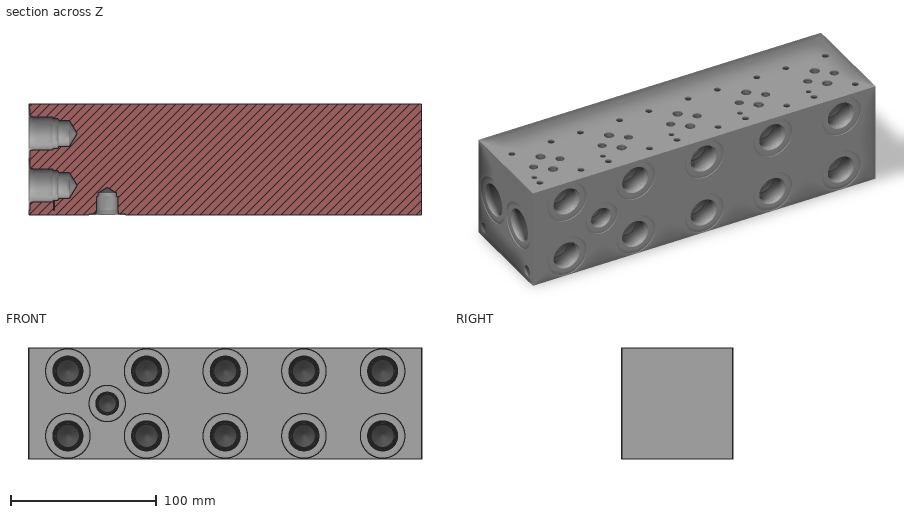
import cadquery as cq
import math

LENGTH = 270.0
WIDTH = 76.2
HEIGHT = 76.2

STATION_COUNT = 5
FIRST_STATION_X = 27.0
STATION_PITCH = 54.0

DRILL_POINT_ANGLE = 118.0
POINT_SLOPE = 1.0 / math.tan(math.radians(DRILL_POINT_ANGLE / 2))

SPOTFACE_DEPTH = 0.7
SEAT_DEPTH = 2.5

WORK_PORT = {
    "spotface": 30.63,
    "seat_mouth": 20.6,
    "seat_base": 19.25,
    "thread": 19.05,
    "thread_depth": 14.3,
    "tap_drill": 17.48,
    "tap_depth": 17.5,
    "passage": 15.88,
    "passage_depth": 28.0,
}
WORK_PORT_EDGE_INSET = 15.875

SUPPLY_PORT = {
    "spotface": 34.1,
    "seat_mouth": 23.9,
    "seat_base": 22.55,
    "thread": 22.23,
    "thread_depth": 16.7,
    "tap_drill": 20.45,
    "tap_depth": 20.0,
    "passage": 17.5,
    "passage_depth": 28.0,
}
SUPPLY_PORT_SPACING = 35.7
TANK_PORT_Y = (WIDTH + SUPPLY_PORT_SPACING) / 2
PRESSURE_PORT_Y = (WIDTH - SUPPLY_PORT_SPACING) / 2

GAUGE_PORT = {
    "spotface": 25.0,
    "seat_mouth": 15.6,
    "seat_base": 14.5,
    "thread": 14.29,
    "thread_depth": 12.7,
    "tap_drill": 12.5,
    "tap_depth": 15.0,
}
GAUGE_PORT_X = FIRST_STATION_X + STATION_PITCH / 2

BACK_ROW_Y = 49.9
ROW_SPACING = 40.5
FRONT_ROW_Y = BACK_ROW_Y - ROW_SPACING
BACK_BOLT_SPACING = 31.0
FRONT_BOLT_SPACING = 32.5
BOLT_THREAD = 4.83
BOLT_THREAD_DEPTH = 12.0
BOLT_TAP_DRILL = 3.79
BOLT_TAP_DEPTH = 15.0

PIN_DIAMETER = 3.96
PIN_DEPTH = 4.0
PIN_ROW_OFFSET = 7.5

WORK_BORE_INSET = 12.7
VALVE_PORT_DEPTH = 1.9
WORK_BORE = 7.14
WORK_BORE_SPACING = 17.5
VALVE_PORT_CENTER_Y = BACK_ROW_Y - WORK_BORE_INSET - WORK_BORE_SPACING / 2
SUPPLY_BORE = 6.35
SUPPLY_BORE_SPACING = 20.8

END_BOLT_INSET = 7.94
END_BOLT_THREAD = 7.92
END_BOLT_THREAD_DEPTH = 12.0
END_BOLT_TAP_DRILL = 6.53
END_BOLT_TAP_DEPTH = 15.0


def drilled_tool(sections):
    """Round cutter along +Z from the origin, closed by a drill point.

    Each section is (start diameter, end diameter, depth of its end).
    """
    points = [(0, 0)]
    depth = 0.0
    for start_diameter, end_diameter, end_depth in sections:
        section_start = (start_diameter / 2, depth)
        if section_start != points[-1]:
            points.append(section_start)
        points.append((end_diameter / 2, end_depth))
        depth = end_depth
    end_radius = sections[-1][1] / 2
    points.append((0, depth + end_radius * POINT_SLOPE))
    return cq.Workplane("XZ").polyline(points).close().revolve(360, (0, 0, 0), (0, 1, 0)).val()


def plain_hole(diameter, depth):
    return drilled_tool([(diameter, diameter, depth)])


def tapped_hole(thread, thread_depth, tap_drill, tap_depth):
    return drilled_tool([(thread, thread, thread_depth), (tap_drill, tap_drill, tap_depth)])


def threaded_port(port):
    """Cutter for a spotfaced port; a passage continues below a conical shoulder of the tap drill."""
    sections = [
        (port["spotface"], port["spotface"], SPOTFACE_DEPTH),
        (port["seat_mouth"], port["seat_base"], SPOTFACE_DEPTH + SEAT_DEPTH),
        (port["thread"], port["thread"], port["thread_depth"]),
        (port["tap_drill"], port["tap_drill"], port["tap_depth"]),
    ]
    if "passage" in port:
        shoulder_end = port["tap_depth"] + (port["tap_drill"] - port["passage"]) / 2 * POINT_SLOPE
        sections.append((port["tap_drill"], port["passage"], shoulder_end))
        sections.append((port["passage"], port["passage"], port["passage_depth"]))
    return drilled_tool(sections)


def placed(tool, mouth, direction):
    """Cutter moved so that it starts at the mouth point and cuts along the direction."""
    return tool.moved(cq.Plane(origin=mouth, normal=direction).location)


def in_front(tool, x, z):
    return placed(tool, (x, 0, z), (0, 1, 0))


def in_top(tool, x, y):
    return placed(tool, (x, y, HEIGHT), (0, 0, -1))


def in_left_end(tool, y, z):
    return placed(tool, (0, y, z), (1, 0, 0))


def front_cutters(station_xs):
    """Two work ports per station and a gauge port midway between the first two stations."""
    work_port = threaded_port(WORK_PORT)
    cutters = [in_front(threaded_port(GAUGE_PORT), GAUGE_PORT_X, HEIGHT / 2)]
    for x in station_xs:
        for z in (WORK_PORT_EDGE_INSET, HEIGHT - WORK_PORT_EDGE_INSET):
            cutters.append(in_front(work_port, x, z))
    return cutters


def left_end_cutters():
    """Tank and pressure ports, and two mounting holes below them."""
    supply_port = threaded_port(SUPPLY_PORT)
    end_bolt = tapped_hole(
        END_BOLT_THREAD, END_BOLT_THREAD_DEPTH, END_BOLT_TAP_DRILL, END_BOLT_TAP_DEPTH
    )
    cutters = [in_left_end(supply_port, y, HEIGHT / 2) for y in (TANK_PORT_Y, PRESSURE_PORT_Y)]
    for y in (END_BOLT_INSET, WIDTH - END_BOLT_INSET):
        cutters.append(in_left_end(end_bolt, y, END_BOLT_INSET))
    return cutters


def valve_cutters(station_x):
    """Four bolt holes, four flow bores and a locating pin hole of one valve station."""
    bolt = tapped_hole(BOLT_THREAD, BOLT_THREAD_DEPTH, BOLT_TAP_DRILL, BOLT_TAP_DEPTH)
    work_bore = plain_hole(WORK_BORE, VALVE_PORT_DEPTH)
    supply_bore = plain_hole(SUPPLY_BORE, VALVE_PORT_DEPTH)
    pin_x = station_x - FRONT_BOLT_SPACING / 2
    cutters = [in_top(plain_hole(PIN_DIAMETER, PIN_DEPTH), pin_x, FRONT_ROW_Y + PIN_ROW_OFFSET)]
    for side in (-1, 1):
        back_bolt_x = station_x + side * BACK_BOLT_SPACING / 2
        front_bolt_x = station_x + side * FRONT_BOLT_SPACING / 2
        supply_x = station_x + side * SUPPLY_BORE_SPACING / 2
        work_y = VALVE_PORT_CENTER_Y + side * WORK_BORE_SPACING / 2
        cutters.append(in_top(bolt, back_bolt_x, BACK_ROW_Y))
        cutters.append(in_top(bolt, front_bolt_x, FRONT_ROW_Y))
        cutters.append(in_top(supply_bore, supply_x, VALVE_PORT_CENTER_Y))
        cutters.append(in_top(work_bore, station_x, work_y))
    return cutters


station_xs = [FIRST_STATION_X + i * STATION_PITCH for i in range(STATION_COUNT)]

cutters = front_cutters(station_xs) + left_end_cutters()
for x in station_xs:
    cutters += valve_cutters(x)

block = cq.Workplane("XY").box(LENGTH, WIDTH, HEIGHT, centered=False).val()
result = cq.Workplane(block.cut(*cutters))